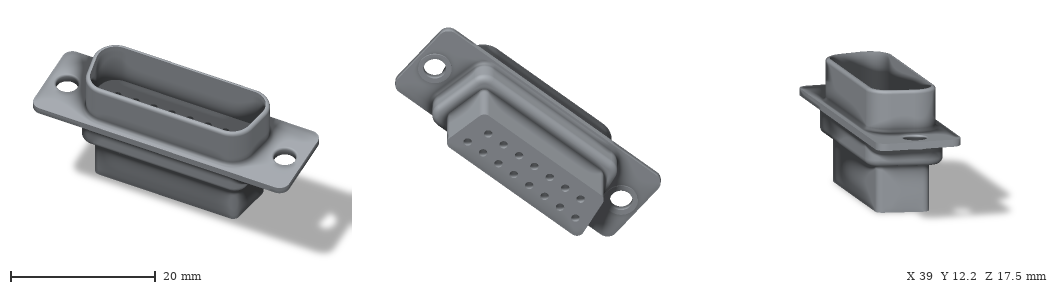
import cadquery as cq
import math

TOTAL_HEIGHT = 17.5

FLANGE_LENGTH = 39.0
FLANGE_WIDTH = 12.2
FLANGE_THICKNESS = 1.0
FLANGE_CORNER_RADIUS = 1.5

SIDE_ANGLE = 10.0

SHELL_HALF_LENGTH = 13.25
SHELL_WIDTH = 9.75
SHELL_CORNER_RADIUS = 3.28
SHELL_HEIGHT = 5.85
SHELL_WALL = 0.6
SHELL_LIP_RADIUS = 0.45
SHELL_BASE_FILLET = 0.45
CAVITY_FLOOR_Z = -0.62

HOUSING_HALF_LENGTH = 13.75
HOUSING_WIDTH = 10.75
HOUSING_CORNER_RADIUS = 2.03
HOUSING_BOTTOM_Z = -4.88
HOUSING_EDGE_RADIUS = 0.95
HOUSING_BASE_FILLET = 0.43

PLUG_HALF_LENGTH = 11.97
PLUG_WIDTH = 7.4
PLUG_CORNER_RADIUS = 1.0
PLUG_BOTTOM_Z = SHELL_HEIGHT - TOTAL_HEIGHT

PIN_DIAMETER = 1.17
PIN_ROW_SPACING = 2.8
BACK_ROW_COUNT = 8
FRONT_ROW_COUNT = BACK_ROW_COUNT - 1
BACK_ROW_SPAN = 19.25
PIN_PITCH = BACK_ROW_SPAN / (BACK_ROW_COUNT - 1)

MOUNT_OFFSET = 16.65
MOUNT_DIAMETER = 3.12
MOUNT_MOUTH_RADIUS = 0.3
COLLAR_DIAMETER = 4.65
COLLAR_HEIGHT = 0.2

PICK_MARGIN = 0.08


def d_prism(half_length, width, radius, bottom_z, top_z):
    """D-shaped prism, widest toward +Y, with rounded corners of the given radius.

    half_length is the greatest half extent in X, reached on the +Y corner arcs.
    """
    slope = math.radians(SIDE_ANGLE)
    half_width = width / 2
    tangent_x = half_length - radius + radius * math.cos(slope)
    tangent_y = half_width - radius - radius * math.sin(slope)
    back_x = tangent_x + (half_width - tangent_y) * math.tan(slope)
    front_x = tangent_x - (half_width + tangent_y) * math.tan(slope)
    outline = [
        (-back_x, half_width),
        (back_x, half_width),
        (front_x, -half_width),
        (-front_x, -half_width),
    ]
    base = cq.Workplane("XY").workplane(offset=bottom_z).polyline(outline).close()
    prism = base.extrude(top_z - bottom_z)
    return prism.edges("|Z").fillet(radius)


def foot_edges(solid, z, half_length, width):
    """Edges in the plane Z = z that lie on the foot of a D-shaped prism."""
    foot = cq.selectors.BoxSelector(
        (-half_length - PICK_MARGIN, -width / 2 - PICK_MARGIN, z - PICK_MARGIN),
        (half_length + PICK_MARGIN, width / 2 + PICK_MARGIN, z + PICK_MARGIN),
        boundingbox=True,
    )
    return solid.edges(foot)


def make_flange():
    flange = cq.Workplane("XY").rect(FLANGE_LENGTH, FLANGE_WIDTH).extrude(-FLANGE_THICKNESS)
    return flange.edges("|Z").fillet(FLANGE_CORNER_RADIUS)


def make_shell():
    shell = d_prism(SHELL_HALF_LENGTH, SHELL_WIDTH, SHELL_CORNER_RADIUS, 0, SHELL_HEIGHT)
    return shell.faces(">Z").edges().fillet(SHELL_LIP_RADIUS)


def make_housing():
    housing = d_prism(
        HOUSING_HALF_LENGTH, HOUSING_WIDTH, HOUSING_CORNER_RADIUS, HOUSING_BOTTOM_Z, -FLANGE_THICKNESS
    )
    return housing.faces("<Z").edges().fillet(HOUSING_EDGE_RADIUS)


def make_plug():
    return d_prism(PLUG_HALF_LENGTH, PLUG_WIDTH, PLUG_CORNER_RADIUS, PLUG_BOTTOM_Z, HOUSING_BOTTOM_Z)


def make_cavity():
    return d_prism(
        SHELL_HALF_LENGTH - SHELL_WALL,
        SHELL_WIDTH - 2 * SHELL_WALL,
        SHELL_CORNER_RADIUS - SHELL_WALL,
        CAVITY_FLOOR_Z,
        SHELL_HEIGHT,
    )


def make_pin_holes():
    rows = [(BACK_ROW_COUNT, PIN_ROW_SPACING / 2), (FRONT_ROW_COUNT, -PIN_ROW_SPACING / 2)]
    centers = []
    for count, y in rows:
        for index in range(count):
            centers.append(((index - (count - 1) / 2) * PIN_PITCH, y))
    holes = cq.Workplane("XY").workplane(offset=PLUG_BOTTOM_Z).pushPoints(centers)
    return holes.circle(PIN_DIAMETER / 2).extrude(SHELL_HEIGHT - PLUG_BOTTOM_Z)


def add_mounts(body):
    """Add the collars, drill the mounting holes and round their upper rims."""
    centers = [(-MOUNT_OFFSET, 0), (MOUNT_OFFSET, 0)]
    depth = FLANGE_THICKNESS + COLLAR_HEIGHT
    collars = cq.Workplane("XY").workplane(offset=-depth).pushPoints(centers)
    body = body.union(collars.circle(COLLAR_DIAMETER / 2).extrude(COLLAR_HEIGHT))
    holes = cq.Workplane("XY").pushPoints(centers).circle(MOUNT_DIAMETER / 2).extrude(-depth)
    body = body.cut(holes)
    for x, _ in centers:
        reach = MOUNT_DIAMETER / 2 + PICK_MARGIN
        rim = cq.selectors.BoxSelector(
            (x - reach, -reach, -PICK_MARGIN),
            (x + reach, reach, PICK_MARGIN),
            boundingbox=True,
        )
        body = body.edges(rim).fillet(MOUNT_MOUTH_RADIUS)
    return body


body = make_flange().union(make_shell()).union(make_housing())
shell_foot = foot_edges(body, 0, SHELL_HALF_LENGTH, SHELL_WIDTH)
body = shell_foot.fillet(SHELL_BASE_FILLET)
housing_foot = foot_edges(body, -FLANGE_THICKNESS, HOUSING_HALF_LENGTH, HOUSING_WIDTH)
body = housing_foot.fillet(HOUSING_BASE_FILLET)
body = body.union(make_plug()).cut(make_cavity()).cut(make_pin_holes())
result = add_mounts(body)